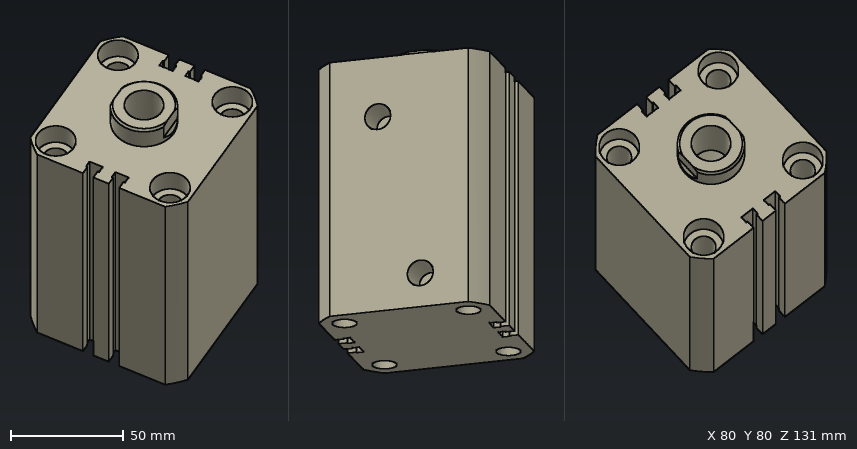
import cadquery as cq
import math

HOUSING_WIDTH = 80.0
HOUSING_HEIGHT = 120.0
CORNER_TURNING_DIAMETER = 103.1

MOUNTING_PITCH = 58.0
MOUNTING_HOLE_DIAMETER = 11.0
COUNTERBORE_DIAMETER = 18.0
COUNTERBORE_DEPTH = 11.0

SLOT_OFFSET = 6.5
SLOT_NECK_WIDTH = 5.2
SLOT_HEAD_WIDTH = 6.7
SLOT_LIP = 4.2
SLOT_DEPTH = 7.5

PORT_MOUTH_DIAMETER = 12.0
PORT_BOTTOM_DIAMETER = 11.0
PORT_DEPTH = 16.0
PORT_OFFSET = 10.0
LOWER_PORT_HEIGHT = 16.0
UPPER_PORT_HEIGHT = 92.0

TOTAL_HEIGHT = 131.0
ROD_DIAMETER = 30.0
ROD_INSERTION = 30.0
ROD_CHAMFER = 1.0
ACROSS_FLATS = 27.0
FLAT_LENGTH = 8.0
TAPPED_HOLE_DIAMETER = 17.5
TAPPED_HOLE_DEPTH = 26.2
DRILL_POINT_ANGLE = 118.0

HALF_WIDTH = HOUSING_WIDTH / 2
ROD_BOTTOM = HOUSING_HEIGHT - ROD_INSERTION


def slot_cutter(side_x, side_y):
    """T-slot running the full height of the housing; each side is +1 or -1."""
    cutter = cq.Workplane("XY")
    for width, start, end in (
        (SLOT_NECK_WIDTH, 0, SLOT_DEPTH),
        (SLOT_HEAD_WIDTH, SLOT_LIP, SLOT_DEPTH),
    ):
        centre_y = side_y * (HALF_WIDTH - (start + end) / 2)
        cutter = cutter.union(
            cq.Workplane("XY")
            .center(side_x * SLOT_OFFSET, centre_y)
            .rect(width, end - start)
            .extrude(HOUSING_HEIGHT)
        )
    return cutter


def port_cutter(y, z):
    """Blind, slightly tapered port with a flat bottom."""
    return (
        cq.Workplane("YZ", origin=(-HALF_WIDTH, y, z))
        .circle(PORT_MOUTH_DIAMETER / 2)
        .workplane(offset=PORT_DEPTH)
        .circle(PORT_BOTTOM_DIAMETER / 2)
        .loft()
    )


def make_housing():
    block = cq.Workplane("XY").rect(HOUSING_WIDTH, HOUSING_WIDTH).extrude(HOUSING_HEIGHT)
    turned = cq.Workplane("XY").circle(CORNER_TURNING_DIAMETER / 2).extrude(HOUSING_HEIGHT)
    body = block.intersect(turned)
    body = (
        body.faces(">Z")
        .workplane(origin=(0, 0, HOUSING_HEIGHT))
        .rect(MOUNTING_PITCH, MOUNTING_PITCH, forConstruction=True)
        .vertices()
        .cboreHole(MOUNTING_HOLE_DIAMETER, COUNTERBORE_DIAMETER, COUNTERBORE_DEPTH)
    )
    for side_x in (-1, 1):
        for side_y in (-1, 1):
            body = body.cut(slot_cutter(side_x, side_y))
    for y, z in ((-PORT_OFFSET, LOWER_PORT_HEIGHT), (PORT_OFFSET, UPPER_PORT_HEIGHT)):
        body = body.cut(port_cutter(y, z))
    rod_bore = (
        cq.Workplane("XY", origin=(0, 0, ROD_BOTTOM))
        .circle(ROD_DIAMETER / 2)
        .extrude(ROD_INSERTION)
    )
    return body.cut(rod_bore)


def flat_cutter():
    """Material beside one wrench flat, with a 45 degree run-out below it."""
    flat_x = ACROSS_FLATS / 2
    run_out = ROD_DIAMETER / 2 - flat_x
    flat_bottom = TOTAL_HEIGHT - FLAT_LENGTH
    return (
        cq.Workplane("XZ")
        .moveTo(flat_x, TOTAL_HEIGHT)
        .lineTo(flat_x, flat_bottom)
        .lineTo(flat_x + run_out, flat_bottom - run_out)
        .lineTo(flat_x + run_out, TOTAL_HEIGHT)
        .close()
        .extrude(ROD_DIAMETER / 2, both=True)
    )


def tapped_hole_cutter():
    """Round hole from the rod's top face with a conical drill point."""
    radius = TAPPED_HOLE_DIAMETER / 2
    cone_height = radius / math.tan(math.radians(DRILL_POINT_ANGLE / 2))
    hole_bottom = TOTAL_HEIGHT - TAPPED_HOLE_DEPTH
    return (
        cq.Workplane("XZ")
        .moveTo(0, TOTAL_HEIGHT)
        .lineTo(radius, TOTAL_HEIGHT)
        .lineTo(radius, hole_bottom)
        .lineTo(0, hole_bottom - cone_height)
        .close()
        .revolve(360, (0, 0, 0), (0, 1, 0))
    )


def make_rod():
    rod = (
        cq.Workplane("XY", origin=(0, 0, ROD_BOTTOM))
        .circle(ROD_DIAMETER / 2)
        .extrude(TOTAL_HEIGHT - ROD_BOTTOM)
        .faces(">Z")
        .chamfer(ROD_CHAMFER)
    )
    flat = flat_cutter()
    rod = rod.cut(flat).cut(flat.mirror("YZ"))
    return rod.cut(tapped_hole_cutter())


housing = make_housing()
rod = make_rod()

result = cq.Compound.makeCompound([housing.val(), rod.val()])